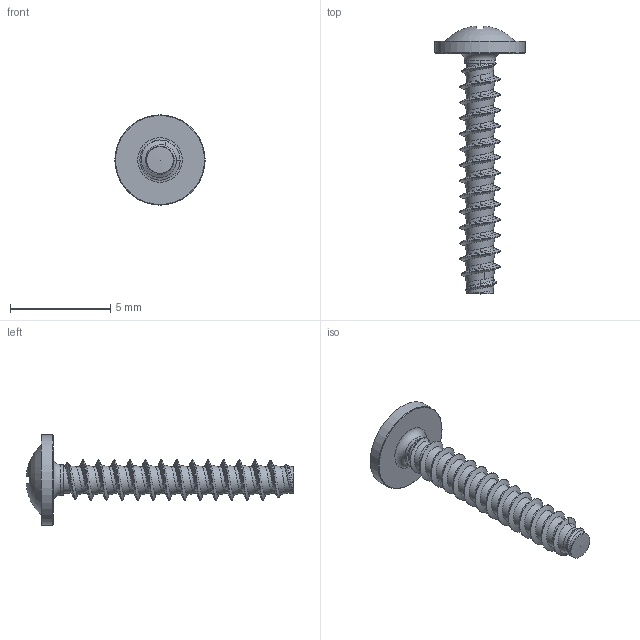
import cadquery as cq
import math


flange_radius = 2.25
flange_height = 0.6
flange_chamfer = 0.03
head_height = 1.38
dome_base_radius = 1.76

wing_width = 0.32
wing_span = 1.74
recess_depth = 0.8

shank_length = 12.0
neck_radius = 0.76
neck_length = 0.5
neck_fillet = 0.35
core_radius = 0.67
tip_cone_height = 0.02

pitch = 0.78
first_crest_y = -1.28
crest_radius = 1.0
crest_width = 0.03
upper_kink_radius = 0.84
upper_kink_offset = 0.09
upper_flank_foot = 0.165
lower_flank_foot = 0.11
root_radius = 0.75
core_overlap = 0.01
vanishing_radius = core_radius - core_overlap
buried_radius = core_radius - 2 * core_overlap
root_cone_end = 0.56
first_turn = -1.75
full_height_turn = 0
fading_turn = 12.2
last_turn = 13.7
points_per_turn = 16


def head_and_shank():
    """Flange, dome, filleted neck and plain core, turned in one piece about Y."""
    fillet_mid = neck_fillet * (1 - math.sqrt(0.5))
    dome_height = head_height - flange_height
    dome_radius = (dome_base_radius**2 + dome_height**2) / (2 * dome_height)
    dome_mid_angle = math.asin(dome_base_radius / dome_radius) / 2
    dome_center_y = head_height - dome_radius
    dome_mid = (
        dome_radius * math.sin(dome_mid_angle),
        dome_center_y + dome_radius * math.cos(dome_mid_angle),
    )
    outline = (
        cq.Workplane("ZY")
        .moveTo(0, head_height)
        .threePointArc(dome_mid, (dome_base_radius, flange_height))
        .lineTo(flange_radius, flange_height)
        .lineTo(flange_radius, flange_chamfer)
        .lineTo(flange_radius - flange_chamfer, 0)
        .lineTo(neck_radius + neck_fillet, 0)
        .threePointArc((neck_radius + fillet_mid, -fillet_mid), (neck_radius, -neck_fillet))
        .lineTo(neck_radius, -neck_length)
        .lineTo(core_radius, -neck_length)
        .lineTo(core_radius, tip_cone_height - shank_length)
        .lineTo(0, -shank_length)
        .close()
    )
    return outline.revolve(360, (0, 0, 0), (0, 1, 0))


def thread_height_factor(turn):
    """Share of the full thread height: rises from 0 at the first turn, falls to 0 at the last."""
    rise = (turn - first_turn) / (full_height_turn - first_turn)
    fall = (last_turn - turn) / (last_turn - fading_turn)
    return min(1.0, rise, fall)


def section_corners(turn):
    """Corners of the thread section at one place along the helix, from the head side to the tip side."""
    half_crest = crest_width / 2
    factor = thread_height_factor(turn)
    root, kink, crest = [
        vanishing_radius + (full_radius - vanishing_radius) * factor
        for full_radius in (root_radius, upper_kink_radius, crest_radius)
    ]
    profile = [
        (-upper_flank_foot, buried_radius),
        (-upper_kink_offset, kink),
        (-half_crest, crest),
        (half_crest, crest),
        (lower_flank_foot, root),
        (root_cone_end, buried_radius),
    ]
    angle = 2 * math.pi * turn
    center_y = first_crest_y - pitch * turn
    corners = []
    for toward_tip, radius in profile:
        corners.append(cq.Vector(radius * math.cos(angle), center_y - toward_tip, radius * math.sin(angle)))
    return corners


def thread_stretch_faces(start_turn, end_turn):
    """Side faces of the thread between two places along the helix."""
    steps = math.ceil((end_turn - start_turn) * points_per_turn)
    turns = [start_turn + (end_turn - start_turn) * step / steps for step in range(steps + 1)]
    sections = [section_corners(turn) for turn in turns]
    edges = [cq.Edge.makeSpline(list(path)) for path in zip(*sections)]
    return [cq.Face.makeRuledSurface(edge, edges[i - 1]) for i, edge in enumerate(edges)]


def thread():
    """Helical ridge with its conical root, built turn by turn and closed by a flat section at each end."""
    full_turns = math.ceil(fading_turn - full_height_turn)
    joints = [first_turn, *[full_height_turn + i for i in range(full_turns)], fading_turn, last_turn]
    faces = []
    for start_turn, end_turn in zip(joints, joints[1:]):
        faces.extend(thread_stretch_faces(start_turn, end_turn))
    for end in (first_turn, last_turn):
        faces.append(cq.Face.makeFromWires(cq.Wire.makePolygon(section_corners(end), close=True)))
    return cq.Workplane(cq.Solid.makeSolid(cq.Shell.makeShell(faces)))


def cross_recess():
    """Cross-shaped driver pocket sunk into the dome."""
    apex_plane = cq.Workplane("XZ", origin=(0, head_height, 0))
    wing = apex_plane.rect(wing_span, wing_width).extrude(recess_depth)
    return wing.union(apex_plane.rect(wing_width, wing_span).extrude(recess_depth))


def beyond_tip():
    """Block below the tip that trims the thread's root cone."""
    block = cq.Workplane("XZ", origin=(0, tip_cone_height - shank_length, 0))
    return block.circle(flange_radius).extrude(pitch)


result = head_and_shank().union(thread().cut(beyond_tip())).cut(cross_recess())